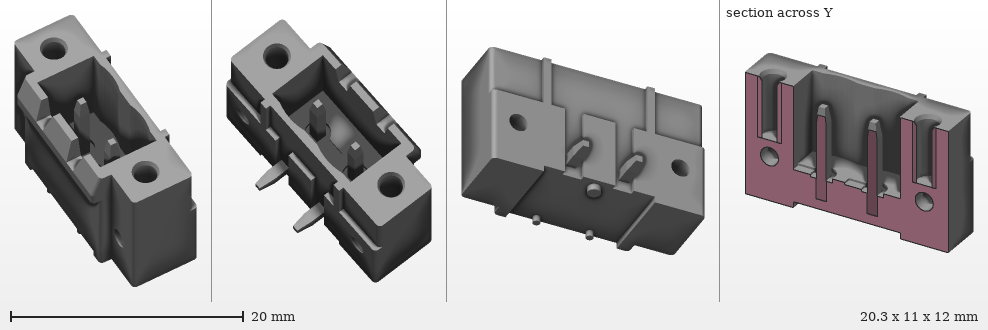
import cadquery as cq

LENGTH = 20.32
HEIGHT = 12.0
OVERALL_DEPTH = 11.0
PITCH = 5.08
PIN_XS = [-PITCH / 2, PITCH / 2]

BACK_Y = 8.4
UPPER_BACK_Y = 7.9
WING_FRONT_Y = 1.9
WALL_FRONT_Y = 0.8
CENTRE_WIDTH = 12.92
CORNER_RADIUS = 0.39
BACK_RADIUS = 0.43
BACK_STEP_Z = 7.21
FOOT_RECESS_HEIGHT = 0.59

HOOK_TOP_Y = WALL_FRONT_Y
HOOK_BOTTOM_Z = 8.98
HOOK_SLOPE_Z = 10.0
NOTCH_TOP_WIDTH = 2.0
NOTCH_BOTTOM_WIDTH = 1.08
NOTCH_OFFSET_X = 0.06

CAVITY_WIDTH = 10.6
CAVITY_FRONT_Y = 1.46
CAVITY_BACK_Y = 7.11
CAVITY_FLOOR_Z = 4.0
SCALLOP_WIDTH = 3.35
SCALLOP_DEPTH = 0.26
SEAT_DIAMETER = 2.3
SEAT_DEPTH = 0.4
KEY_WIDTH = 0.8
KEY_DEPTH = 0.2
KEY_LENGTH = (CAVITY_WIDTH - PITCH) / 2

TAIL_SLOT_WIDTH = 1.77
TAIL_SLOT_X = 2.4
RIB_WIDTH = 0.73

SMALL_PEG_DIAMETER = 0.7
SMALL_PEG_Y = 1.2
LARGE_PEG_DIAMETER = 1.2
LARGE_PEG_Y = 7.32

WING_HOLE_X = 7.72
CROSS_HOLE_DIAMETER = 1.75
CROSS_HOLE_Z = 4.37
INSERT_Y = 4.57
INSERT_DIAMETER = 2.7
INSERT_BORE = 2.01
INSERT_MOUTH = 2.4
INSERT_MOUTH_DEPTH = 0.39
INSERT_LENGTH = 6.0

PIN_SIZE = 1.0
PIN_TIP_SIZE = 0.59
PIN_TAPER = 1.48
PIN_Y = 4.29
PIN_TOP_Z = 10.63
TAIL_Z = 2.1


def block(x_range, y_range, z_range):
    """Box given by its limits along each axis."""
    (x0, x1), (y0, y1), (z0, z1) = x_range, y_range, z_range
    return cq.Workplane("XY").box(x1 - x0, y1 - y0, z1 - z0, centered=False).translate((x0, y0, z0))


def centred_on(x, width):
    return (x - width / 2, x + width / 2)


def upright_cylinder(x, y, diameter, z0, z1):
    return cq.Workplane("XY", origin=(x, y, z0)).circle(diameter / 2).extrude(z1 - z0)


def make_wing_block():
    """Full-length block; its upper back is stepped in, and both back levels have rounded ends."""
    lower = block(centred_on(0, LENGTH), (WING_FRONT_Y, BACK_Y), (0, BACK_STEP_Z))
    upper = block(centred_on(0, LENGTH), (WING_FRONT_Y, UPPER_BACK_Y), (BACK_STEP_Z, HEIGHT))
    lower = lower.edges("|Z and >Y").fillet(BACK_RADIUS)
    upper = upper.edges("|Z and >Y").fillet(BACK_RADIUS)
    return lower.union(upper).edges("|Z and <Y").fillet(CORNER_RADIUS)


def make_front_block():
    """Centre section with the sloped latch hook, extruded along X from its side profile."""
    profile = [
        (WING_FRONT_Y + CORNER_RADIUS, 0),
        (WALL_FRONT_Y, 0),
        (WALL_FRONT_Y, HOOK_BOTTOM_Z),
        (0, HOOK_BOTTOM_Z),
        (0, HOOK_SLOPE_Z),
        (HOOK_TOP_Y, HEIGHT),
        (WING_FRONT_Y + CORNER_RADIUS, HEIGHT),
    ]
    front = cq.Workplane("YZ").polyline(profile).close().extrude(CENTRE_WIDTH / 2, both=True)
    upright_edges = "(not |X) and (not |Y)"
    front_edges = cq.selectors.BoxSelector((-LENGTH, -LENGTH, -LENGTH), (LENGTH, WING_FRONT_Y, LENGTH))
    return front.edges(upright_edges).edges(front_edges).fillet(CORNER_RADIUS)


def make_cavity():
    """Plug opening with a shallow scallop in its back wall behind each pin."""
    z_range = (CAVITY_FLOOR_Z, HEIGHT)
    cavity = block(centred_on(0, CAVITY_WIDTH), (CAVITY_FRONT_Y, CAVITY_BACK_Y), z_range)
    for x in PIN_XS:
        left, right = centred_on(x, SCALLOP_WIDTH)
        scallop = (
            cq.Workplane("XY", origin=(0, 0, CAVITY_FLOOR_Z))
            .moveTo(left, CAVITY_BACK_Y)
            .threePointArc((x, CAVITY_BACK_Y + SCALLOP_DEPTH), (right, CAVITY_BACK_Y))
            .close()
            .extrude(HEIGHT - CAVITY_FLOOR_Z)
        )
        cavity = cavity.union(scallop)
    return cavity


def make_floor_recesses():
    """Round seat around each pin, and a shallower key slot that runs left from it."""
    recesses = cq.Workplane("XY")
    for x in PIN_XS:
        seat = upright_cylinder(x, PIN_Y, SEAT_DIAMETER, CAVITY_FLOOR_Z - SEAT_DEPTH, CAVITY_FLOOR_Z)
        key_z = (CAVITY_FLOOR_Z - KEY_DEPTH, CAVITY_FLOOR_Z)
        key = block((x - KEY_LENGTH, x), centred_on(PIN_Y, KEY_WIDTH), key_z)
        recesses = recesses.union(seat).union(key)
    return recesses


def make_notches():
    """Tapered notch through the hook in front of each pin."""
    notches = cq.Workplane("XZ")
    for pin_x in PIN_XS:
        x = pin_x + NOTCH_OFFSET_X
        bottom_left, bottom_right = centred_on(x, NOTCH_BOTTOM_WIDTH)
        top_left, top_right = centred_on(x, NOTCH_TOP_WIDTH)
        outline = [
            (bottom_left, HOOK_SLOPE_Z),
            (bottom_right, HOOK_SLOPE_Z),
            (top_right, HEIGHT),
            (top_left, HEIGHT),
        ]
        notches = notches.union(cq.Workplane("XZ").polyline(outline).close().extrude(-CAVITY_FRONT_Y))
    return notches


def make_pin(x):
    """L-shaped square pin, tapered at its contact tip and at its tail."""
    half = PIN_SIZE / 2
    post_top = PIN_TOP_Z - PIN_TAPER
    tail_end = OVERALL_DEPTH - PIN_TAPER
    post = block(centred_on(x, PIN_SIZE), centred_on(PIN_Y, PIN_SIZE), (TAIL_Z - half, post_top))
    tail = block(centred_on(x, PIN_SIZE), (PIN_Y - half, tail_end), centred_on(TAIL_Z, PIN_SIZE))
    tip_planes = [
        cq.Workplane("XY", origin=(x, PIN_Y, post_top)),
        cq.Workplane("XZ", origin=(x, tail_end, TAIL_Z)),
    ]
    tip_offsets = [PIN_TAPER, -PIN_TAPER]
    pin = post.union(tail)
    for plane, offset in zip(tip_planes, tip_offsets):
        tip = plane.rect(PIN_SIZE, PIN_SIZE).workplane(offset=offset).rect(PIN_TIP_SIZE, PIN_TIP_SIZE).loft()
        pin = pin.union(tip)
    return pin


def make_insert(x):
    """Sleeve set flush with the top of a wing, bored through with a conical mouth."""
    profile = [
        (INSERT_BORE / 2, HEIGHT - INSERT_LENGTH),
        (INSERT_DIAMETER / 2, HEIGHT - INSERT_LENGTH),
        (INSERT_DIAMETER / 2, HEIGHT),
        (INSERT_MOUTH / 2, HEIGHT),
        (INSERT_BORE / 2, HEIGHT - INSERT_MOUTH_DEPTH),
    ]
    sleeve = cq.Workplane("XZ").polyline(profile).close().revolve(360, (0, 0, 0), (0, 1, 0))
    return sleeve.translate((x, INSERT_Y, 0))


def make_housing(pins):
    housing = make_wing_block().union(make_front_block())

    for side in (-1, 1):
        rib_x = side * (CAVITY_WIDTH - RIB_WIDTH) / 2
        rib = block(centred_on(rib_x, RIB_WIDTH), (UPPER_BACK_Y, BACK_Y), (BACK_STEP_Z, HEIGHT))
        housing = housing.union(rib)

    housing = housing.cut(make_cavity()).cut(make_floor_recesses()).cut(make_notches())

    for side in (-1, 1):
        slot_x = centred_on(side * TAIL_SLOT_X, TAIL_SLOT_WIDTH)
        housing = housing.cut(block(slot_x, (UPPER_BACK_Y, BACK_Y), (0, BACK_STEP_Z)))

    housing = housing.cut(block(centred_on(0, CAVITY_WIDTH), (0, BACK_Y), (0, FOOT_RECESS_HEIGHT)))
    pegs = [(x, SMALL_PEG_Y, SMALL_PEG_DIAMETER) for x in PIN_XS]
    pegs.append((0, LARGE_PEG_Y, LARGE_PEG_DIAMETER))
    for x, y, diameter in pegs:
        housing = housing.union(upright_cylinder(x, y, diameter, 0, FOOT_RECESS_HEIGHT))

    for x in (-WING_HOLE_X, WING_HOLE_X):
        cross_hole = (
            cq.Workplane("XZ", origin=(x, 0, CROSS_HOLE_Z)).circle(CROSS_HOLE_DIAMETER / 2).extrude(-BACK_Y)
        )
        insert_hole = upright_cylinder(x, INSERT_Y, INSERT_DIAMETER, HEIGHT - INSERT_LENGTH, HEIGHT)
        housing = housing.cut(cross_hole).cut(insert_hole)

    for pin in pins:
        housing = housing.cut(pin)
    return housing


pins = [make_pin(x) for x in PIN_XS]
inserts = [make_insert(x) for x in (-WING_HOLE_X, WING_HOLE_X)]
housing = make_housing(pins)

result = cq.Compound.makeCompound(
    [housing.val(), *[pin.val() for pin in pins], *[insert.val() for insert in inserts]]
)